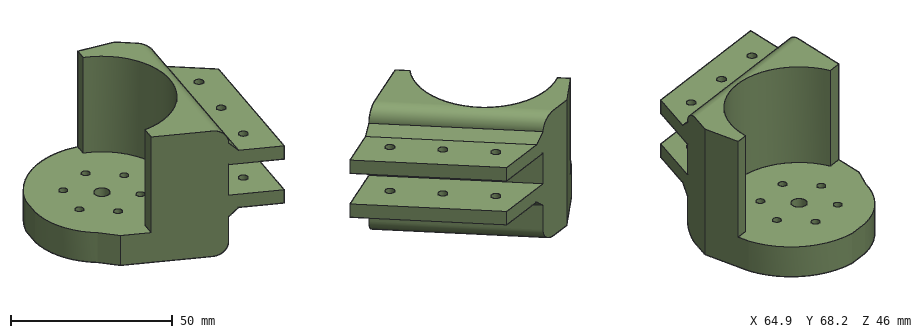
import cadquery as cq
import math


body_height = 46.0
floor_thickness = 11.0

left_x = -26.95
right_x = 37.9
back_y = 44.65
front_y = back_y - 68.2
back_left_x = -10.8
left_shoulder_y = 16.7
left_arc_start_y = 0.2
left_arc_middle = (-19.6, -15.75)
front_flat_left_x = -5.05
front_flat_right_x = 2.0
right_arc_middle = (13.4, -19.2)
right_arc_end = (20.6, -10.9)
right_corner = (25.1, -5.2)

bore_radius = 23.25
wall_front_y = 4.15
wall_back_y = 27.75
back_edge_radius = 5.0

flange_thickness = 4.9
flange_gap = 11.2
filler_depth = 3.0
gap_bottom = 21.95
filler_height = body_height - back_edge_radius - (gap_bottom + flange_gap + flange_thickness)

shaft_hole_diameter = 5.0
screw_hole_diameter = 2.7
screw_circle_radius = 12.0
screw_count = 6
flange_hole_diameter = 3.0
flange_hole_y = 36.1
flange_hole_middle_x = 9.8
flange_hole_pitch = 16.4


def make_plan_prism():
    """Full-height prism of the plan outline."""
    return (
        cq.Workplane("XY")
        .moveTo(back_left_x, back_y)
        .lineTo(left_x, left_shoulder_y)
        .lineTo(left_x, left_arc_start_y)
        .threePointArc(left_arc_middle, (front_flat_left_x, front_y))
        .lineTo(front_flat_right_x, front_y)
        .threePointArc(right_arc_middle, right_arc_end)
        .lineTo(*right_corner)
        .lineTo(right_x, back_y)
        .close()
        .extrude(body_height)
    )


def make_side_prism():
    """Side profile in the YZ plane: floor, wall and two flanges, swept across the width."""
    gap_top = gap_bottom + flange_gap
    lower_flange_bottom = gap_bottom - flange_thickness
    upper_flange_top = gap_top + flange_thickness
    filler_y = wall_back_y + filler_depth
    arc_inset = back_edge_radius * (1 - math.sqrt(0.5))
    return (
        cq.Workplane("YZ", origin=(left_x, 0, 0))
        .moveTo(front_y, 0)
        .lineTo(wall_back_y - back_edge_radius, 0)
        .threePointArc((wall_back_y - arc_inset, arc_inset), (wall_back_y, back_edge_radius))
        .lineTo(wall_back_y, lower_flange_bottom - filler_height)
        .lineTo(filler_y, lower_flange_bottom)
        .lineTo(back_y, lower_flange_bottom)
        .lineTo(back_y, gap_bottom)
        .lineTo(wall_back_y, gap_bottom)
        .lineTo(wall_back_y, gap_top)
        .lineTo(back_y, gap_top)
        .lineTo(back_y, upper_flange_top)
        .lineTo(filler_y, upper_flange_top)
        .lineTo(wall_back_y, upper_flange_top + filler_height)
        .threePointArc(
            (wall_back_y - arc_inset, body_height - arc_inset),
            (wall_back_y - back_edge_radius, body_height),
        )
        .lineTo(wall_front_y, body_height)
        .lineTo(wall_front_y, floor_thickness)
        .lineTo(front_y, floor_thickness)
        .close()
        .extrude(right_x - left_x)
    )


def make_bore():
    """Cylinder cleared above the floor for the motor."""
    return (
        cq.Workplane("XY", origin=(0, 0, floor_thickness))
        .circle(bore_radius)
        .extrude(body_height - floor_thickness)
    )


def make_holes():
    """Shaft hole and screw circle through the floor, and a row through both flanges."""
    flange_hole_points = [
        (flange_hole_middle_x + step * flange_hole_pitch, flange_hole_y) for step in (-1, 0, 1)
    ]
    shaft_hole = cq.Workplane("XY").circle(shaft_hole_diameter / 2).extrude(body_height)
    screw_holes = (
        cq.Workplane("XY")
        .polarArray(screw_circle_radius, 0, 360, screw_count)
        .circle(screw_hole_diameter / 2)
        .extrude(body_height)
    )
    flange_holes = (
        cq.Workplane("XY")
        .pushPoints(flange_hole_points)
        .circle(flange_hole_diameter / 2)
        .extrude(body_height)
    )
    return shaft_hole.union(screw_holes).union(flange_holes)


result = make_plan_prism().intersect(make_side_prism()).cut(make_bore()).cut(make_holes())